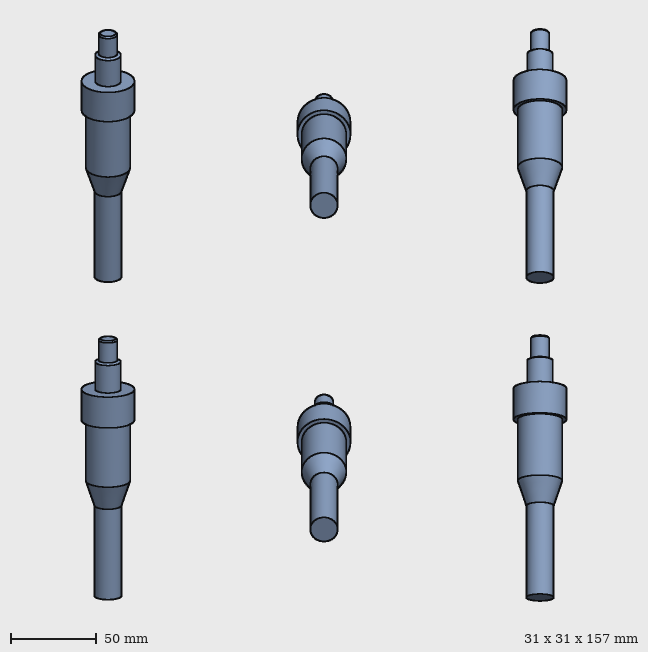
import cadquery as cq

stem_diameter = 16.0
body_diameter = 26.0
collar_diameter = 31.0
neck_diameter = 15.0
tip_diameter = 11.0

stem_top = 55.3
taper_top = 70.3
body_top = 107.2
collar_top = 126.0
neck_top = 142.9
shoulder_top = 143.8
total_height = 157.0

tip_chamfer = 1.0

stem_radius = stem_diameter / 2
body_radius = body_diameter / 2
collar_radius = collar_diameter / 2
neck_radius = neck_diameter / 2
tip_radius = tip_diameter / 2

half_section = (
    cq.Workplane("XZ")
    .moveTo(0, 0)
    .lineTo(stem_radius, 0)
    .lineTo(stem_radius, stem_top)
    .lineTo(body_radius, taper_top)
    .lineTo(body_radius, body_top)
    .lineTo(collar_radius, body_top)
    .lineTo(collar_radius, collar_top)
    .lineTo(neck_radius, collar_top)
    .lineTo(neck_radius, neck_top)
    .lineTo(tip_radius, shoulder_top)
    .lineTo(tip_radius, total_height - tip_chamfer)
    .lineTo(tip_radius - tip_chamfer, total_height)
    .lineTo(0, total_height)
    .close()
)

result = half_section.revolve(360, (0, 0, 0), (0, 1, 0))